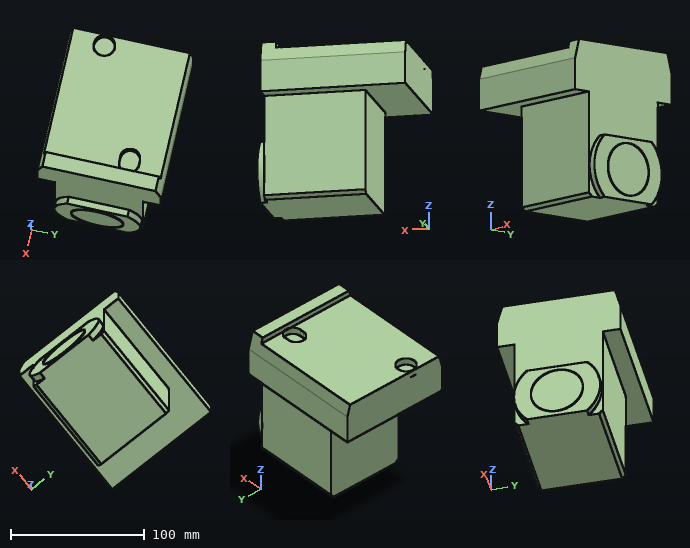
import cadquery as cq

head_length = 111.5
head_width = 95.0
top_width = 86.9
total_height = 119.0
head_bottom = 79.8
flank_bottom = 103.9

seat_height = 114.0
lip_thickness = 11.5
lip_start = head_length - lip_thickness

body_start = 33.7
body_width = 67.8
body_chamfer = 2.9

flange_diameter = 66.4
flange_height = 47.6
flange_thickness = 5.5
flange_center_z = flange_height / 2
disc_diameter = 40.0
disc_thickness = 0.5

pocket_depth = 6.0
hole_diameter = 16.0
hole_x = 8.6
hole_y = -19.0
slot_width = 15.0
slot_length = 18.7
slot_x = 91.5
slot_y = 19.0


def make_head():
    half_width = head_width / 2
    half_top = top_width / 2
    section = [
        (-half_width, head_bottom),
        (half_width, head_bottom),
        (half_width, flank_bottom),
        (half_top, total_height),
        (-half_top, total_height),
        (-half_width, flank_bottom),
    ]
    head = cq.Workplane("YZ").polyline(section).close().extrude(head_length)
    seat_clearance = cq.Workplane("XY", origin=(0, 0, seat_height)).box(
        lip_start, head_width, total_height - seat_height, centered=(False, True, False)
    )
    return head.cut(seat_clearance)


def make_body():
    body = cq.Workplane("XY", origin=(body_start, 0, 0)).box(
        head_length - body_start, body_width, head_bottom, centered=(False, True, False)
    )
    return body.edges("|X and <Z").chamfer(body_chamfer)


def make_flange():
    back_face = cq.Workplane("YZ", origin=(head_length, 0, flange_center_z))
    flats = back_face.rect(flange_diameter, flange_height).extrude(flange_thickness)
    flange = back_face.circle(flange_diameter / 2).extrude(flange_thickness).intersect(flats)
    disc = back_face.circle(disc_diameter / 2).extrude(flange_thickness + disc_thickness)
    return flange.union(disc)


def make_pockets():
    seat = cq.Workplane("XY", origin=(0, 0, seat_height))
    hole = seat.center(hole_x, hole_y).circle(hole_diameter / 2).extrude(-pocket_depth)
    slot = seat.center(slot_x, slot_y).slot2D(slot_length, slot_width).extrude(-pocket_depth)
    return hole.union(slot)


result = make_head().union(make_body()).union(make_flange()).cut(make_pockets())